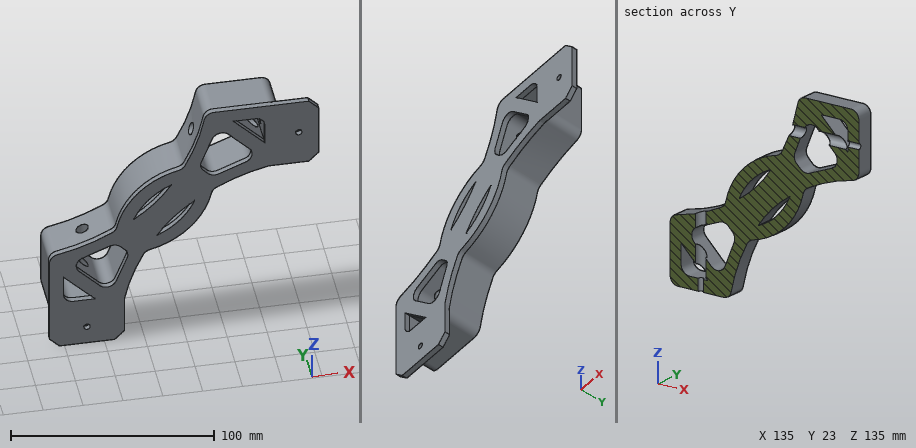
import cadquery as cq
import math

LENGTH = 135.0
BLOCK_SPAN = 115.0
PLATE_THICKNESS = 3.0
BLOCK_THICKNESS = 20.0
TOTAL_DEPTH = PLATE_THICKNESS + BLOCK_THICKNESS
FILLET_RADIUS = 5.0
CENTER_X = BLOCK_SPAN / 2
CENTER_Z = LENGTH - BLOCK_SPAN / 2

LENS_HALF_WIDTH = 18.1
NECK_ALONG = 23.6
NECK_HALF_WIDTH = 10.5
TIP_ALONG = BLOCK_SPAN / math.sqrt(2)
SHOULDER_ALONG = 55.4
SHOULDER_HALF_WIDTH = TIP_ALONG - SHOULDER_ALONG
CONCAVE_RADIUS = 97.2

PAD_WIDTH = 37.7
PAD_CENTER = PAD_WIDTH / 2
PAD_CHAMFER = 5.0
PAD_HOLE_DIAMETER = 3.1
PAD_HOLE_INSET = 10.0

SLIT_TIP_ALONG = 13.4
SLIT_TIP_ACROSS = 8.2
SLIT_INNER_ACROSS = 6.9
SLIT_OUTER_ACROSS = 10.8

WINDOW_NEAR_ALONG = 29.4
WINDOW_NEAR_HALF_WIDTH = 4.9
WINDOW_FAR_ALONG = 52.9
WINDOW_FAR_HALF_WIDTH = 14.8

END_WALL = 7.0
TRIANGLE_BASE_ALONG = 60.2
TRIANGLE_TIP_ALONG = TIP_ALONG - END_WALL * math.sqrt(2)
TRIANGLE_HALF_BASE = TRIANGLE_TIP_ALONG - TRIANGLE_BASE_ALONG

SCREW_DIAMETER = 3.0
SCREW_ACCESS_DIAMETER = 6.0
SCREW_Y = PLATE_THICKNESS + BLOCK_THICKNESS / 2

SIGNS = (-1, 1)


def diagonal_plane(y=0.0):
    """Plane at depth y whose local x runs along the long axis; it faces -Y."""
    return cq.Workplane(cq.Plane((CENTER_X, y, CENTER_Z), (1, 0, 1), (0, -1, 0)))


def arm_body(y, thickness):
    """Bulged, waisted arm with two square-cornered ends, from depth y toward +Y."""
    neck, neck_half = NECK_ALONG, NECK_HALF_WIDTH
    shoulder, shoulder_half = SHOULDER_ALONG, SHOULDER_HALF_WIDTH
    return (
        diagonal_plane(y)
        .moveTo(-neck, neck_half)
        .threePointArc((0, LENS_HALF_WIDTH), (neck, neck_half))
        .radiusArc((shoulder, shoulder_half), -CONCAVE_RADIUS)
        .lineTo(TIP_ALONG, 0)
        .lineTo(shoulder, -shoulder_half)
        .radiusArc((neck, -neck_half), -CONCAVE_RADIUS)
        .threePointArc((0, -LENS_HALF_WIDTH), (-neck, -neck_half))
        .radiusArc((-shoulder, -shoulder_half), -CONCAVE_RADIUS)
        .lineTo(-TIP_ALONG, 0)
        .lineTo(-shoulder, shoulder_half)
        .radiusArc((-neck, neck_half), -CONCAVE_RADIUS)
        .close()
        .extrude(-thickness)
        .edges("|Y")
        .fillet(FILLET_RADIUS)
    )


def slit(side):
    """Pointed slit along one side of the bulge."""
    tip = SLIT_TIP_ACROSS * side
    return (
        diagonal_plane()
        .moveTo(-SLIT_TIP_ALONG, tip)
        .threePointArc((0, SLIT_OUTER_ACROSS * side), (SLIT_TIP_ALONG, tip))
        .threePointArc((0, SLIT_INNER_ACROSS * side), (-SLIT_TIP_ALONG, tip))
        .close()
        .extrude(-TOTAL_DEPTH)
    )


def four_sided_window(end):
    """Rounded window that widens toward one end of the arm."""
    near, far = WINDOW_NEAR_ALONG * end, WINDOW_FAR_ALONG * end
    return (
        diagonal_plane()
        .moveTo(near, WINDOW_NEAR_HALF_WIDTH)
        .lineTo(far, WINDOW_FAR_HALF_WIDTH)
        .lineTo(far, -WINDOW_FAR_HALF_WIDTH)
        .lineTo(near, -WINDOW_NEAR_HALF_WIDTH)
        .close()
        .extrude(-TOTAL_DEPTH)
        .edges("|Y")
        .fillet(FILLET_RADIUS)
    )


def triangular_window(end):
    """Triangle whose rounded right angle sits inside the corner of one end."""
    base = TRIANGLE_BASE_ALONG * end
    tip_corner = "|Y and " + ("(>X and >Z)" if end > 0 else "(<X and <Z)")
    return (
        diagonal_plane()
        .moveTo(base, TRIANGLE_HALF_BASE)
        .lineTo(TRIANGLE_TIP_ALONG * end, 0)
        .lineTo(base, -TRIANGLE_HALF_BASE)
        .close()
        .extrude(-TOTAL_DEPTH)
        .edges(tip_corner)
        .fillet(FILLET_RADIUS)
    )


def cut_windows(body):
    """Cut the slits and windows that run through both bodies."""
    for sign in SIGNS:
        body = body.cut(slit(sign))
        body = body.cut(four_sided_window(sign))
        body = body.cut(triangular_window(sign))
    return body


def mounting_pad(x_min, z_min, outer_corners):
    """Square pad of the plate, chamfered at its two outer corners."""
    return (
        cq.Workplane("XZ", origin=(x_min, 0, z_min))
        .rect(PAD_WIDTH, PAD_WIDTH, centered=False)
        .extrude(-PLATE_THICKNESS)
        .edges(outer_corners)
        .chamfer(PAD_CHAMFER)
    )


def pad_hole(x, z):
    """Through hole of a mounting pad."""
    return (
        cq.Workplane("XZ", origin=(x, 0, z))
        .circle(PAD_HOLE_DIAMETER / 2)
        .extrude(-PLATE_THICKNESS)
    )


def screw_bore(plane, origin):
    """Screw hole through an end wall, with a wide access bore up to that wall."""
    hole = cq.Workplane(plane, origin=origin).circle(SCREW_DIAMETER / 2).extrude(BLOCK_SPAN)
    access_length = BLOCK_SPAN - END_WALL
    access = cq.Workplane(plane, origin=origin).circle(SCREW_ACCESS_DIAMETER / 2).extrude(access_length)
    return hole.union(access)


def make_plate():
    """Thin front plate: the arm outline with a mounting pad at each end."""
    far_side = LENGTH - PAD_WIDTH
    plate = (
        arm_body(0, PLATE_THICKNESS)
        .union(mounting_pad(far_side, far_side, "|Y and >X"))
        .union(mounting_pad(0, 0, "|Y and <Z"))
    )
    plate = plate.cut(pad_hole(LENGTH - PAD_HOLE_INSET, LENGTH - PAD_CENTER))
    plate = plate.cut(pad_hole(PAD_CENTER, PAD_HOLE_INSET))
    return cut_windows(plate)


def make_block():
    """Thick block behind the plate, with a screw bore through each end."""
    block = cut_windows(arm_body(PLATE_THICKNESS, BLOCK_THICKNESS))
    block = block.cut(screw_bore("YZ", (0, SCREW_Y, LENGTH - PAD_CENTER)))
    return block.cut(screw_bore("YX", (PAD_CENTER, SCREW_Y, LENGTH)))


plate = make_plate()
block = make_block()
result = cq.Compound.makeCompound([plate.val(), block.val()])